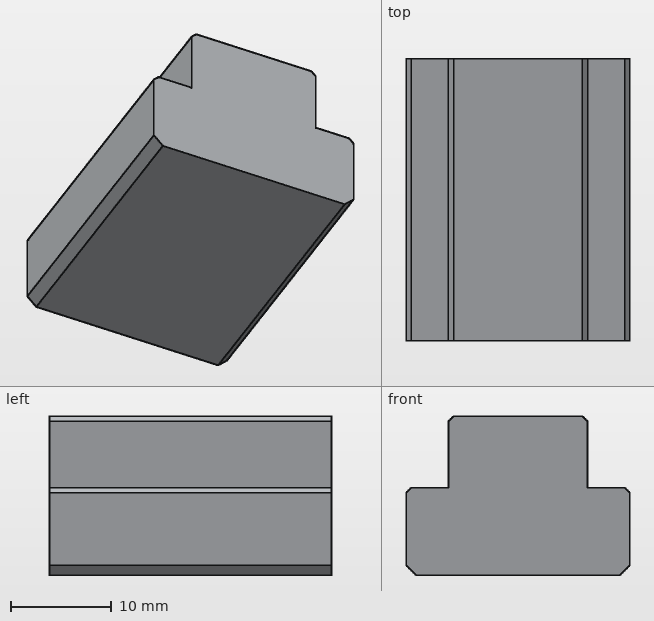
import cadquery as cq

length = 28.0
base_width = 22.2
total_height = 15.8

neck_width = 13.8
base_height = 8.7
neck_height = total_height - base_height

top_chamfer = 0.5
bottom_chamfer = 1.0


def centred_bar(width, height, bottom_z):
    """Bar running the full length along Y, centred on X and Y."""
    bar = cq.Workplane("XY").box(width, length, height, centered=(True, True, False))
    return bar.translate((0, 0, bottom_z))


def make_base():
    base = centred_bar(base_width, base_height, 0)
    base = base.faces(">Z").edges("|Y").chamfer(top_chamfer)
    return base.faces("<Z").edges("|Y").chamfer(bottom_chamfer)


def make_neck():
    neck = centred_bar(neck_width, neck_height, base_height)
    return neck.faces(">Z").edges("|Y").chamfer(top_chamfer)


result = make_base().union(make_neck())